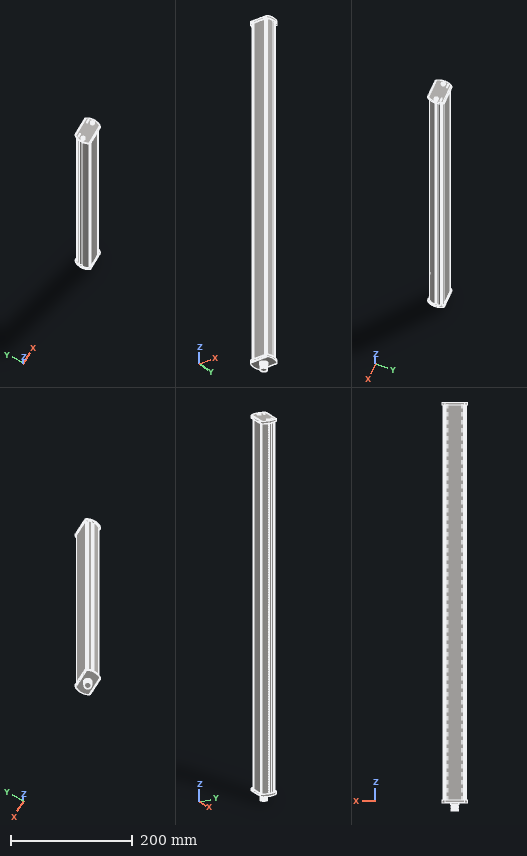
import cadquery as cq

total_height = 673.0
cap_width = 42.5
cap_depth = 29.5
cap_thickness = 5.0
corner_bevel = 1.5
cap_corner_x = 16.0

rim_bevel_depth = 2.0
rim_bevel_height = 1.0

cap_overhang = 1.7
front_bulge = 1.0

seam_x = 12.0
seam_width = 2.0
seam_depth = 1.5

channel_floor_slope = 0.5
middle_channel_rear_y = 5.0
middle_channel_root_y = 1.5
middle_channel_front_y = -1.0
middle_channel_root_x = 17.5
rear_channel_rear_y = 11.5
rear_channel_root_y = 10.0
rear_channel_front_y = 9.0
rear_channel_root_x = 15.0

screw_x = 15.5
screw_hole_diameter = 3.5
screw_head_diameter = 7.0
screw_head_depth = 1.5
slot_x = 14.0
slot_y = 8.0
slot_length = 6.0
slot_width = 1.5
slot_depth = 1.5

connector_length = 13.5
collar_diameter = 15.0
collar_length = 2.0
thread_diameter = 12.0
thread_depth = 1.0
thread_pitch = 2.0
thread_count = 5

lower_cap_z = connector_length
housing_z = lower_cap_z + cap_thickness
upper_cap_z = total_height - cap_thickness
housing_height = upper_cap_z - housing_z


def barrel_outline(z, inset, bulge):
    """Profile with bowed sides, bevelled corners and a front face that bows by `bulge`."""
    side_x = cap_width / 2 - inset
    face_y = cap_depth / 2 - inset
    front_corner_y = face_y - bulge
    corner_x = cap_corner_x - inset
    shoulder_x = corner_x + corner_bevel
    shoulder_y = face_y - corner_bevel
    outline = cq.Workplane("XY").workplane(offset=z).moveTo(-corner_x, -front_corner_y)
    if bulge:
        outline = outline.threePointArc((0, -face_y), (corner_x, -front_corner_y))
    else:
        outline = outline.lineTo(corner_x, -front_corner_y)
    return (
        outline.lineTo(shoulder_x, -shoulder_y)
        .threePointArc((side_x, 0), (shoulder_x, shoulder_y))
        .lineTo(corner_x, face_y)
        .lineTo(-corner_x, face_y)
        .lineTo(-shoulder_x, shoulder_y)
        .threePointArc((-side_x, 0), (-shoulder_x, -shoulder_y))
        .close()
    )


def window_seam(side, z, height, face_y):
    return (
        cq.Workplane("XY").workplane(offset=z)
        .center(side * seam_x, -face_y)
        .rect(seam_width, 2 * seam_depth)
        .extrude(height)
    )


def side_channel(side, rear_y, root_y, front_y, root_x):
    outer_x = cap_width / 2
    floor_rear_x = root_x + channel_floor_slope * (rear_y - root_y)
    return (
        cq.Workplane("XY").workplane(offset=housing_z)
        .polyline([
            (side * outer_x, rear_y),
            (side * floor_rear_x, rear_y),
            (side * root_x, root_y),
            (side * root_x, front_y),
            (side * outer_x, front_y),
        ])
        .close()
        .extrude(housing_height)
    )


def build_housing():
    channels = [
        (middle_channel_rear_y, middle_channel_root_y, middle_channel_front_y, middle_channel_root_x),
        (rear_channel_rear_y, rear_channel_root_y, rear_channel_front_y, rear_channel_root_x),
    ]
    housing = barrel_outline(housing_z, cap_overhang, front_bulge).extrude(housing_height)
    housing_face_y = cap_depth / 2 - cap_overhang
    for side in (-1, 1):
        housing = housing.cut(window_seam(side, housing_z, housing_height, housing_face_y))
        for rear_y, root_y, front_y, root_x in channels:
            housing = housing.cut(side_channel(side, rear_y, root_y, front_y, root_x))
    return housing


def rim_bevel(end, outer_z, inward):
    """Wedge along the front (end -1) or rear (end 1) edge of the outer cap face at `outer_z`."""
    rim_y = end * cap_depth / 2
    return (
        cq.Workplane("YZ").workplane(offset=-cap_width / 2)
        .polyline([
            (rim_y - end * rim_bevel_depth, outer_z),
            (rim_y, outer_z),
            (rim_y, outer_z + inward * rim_bevel_height),
        ])
        .close()
        .extrude(cap_width)
    )


def build_cap(z, outer_z, inward):
    cap = barrel_outline(z, 0, 0).extrude(cap_thickness)
    for end in (-1, 1):
        cap = cap.cut(rim_bevel(end, outer_z, inward))
    for side in (-1, 1):
        cap = cap.cut(window_seam(side, z, cap_thickness, cap_depth / 2))
    return cap


def build_upper_cap():
    return (
        build_cap(upper_cap_z, total_height, -1)
        .faces(">Z").workplane(origin=(0, 0, total_height))
        .pushPoints([(-screw_x, 0), (screw_x, 0)])
        .cboreHole(screw_hole_diameter, screw_head_diameter, screw_head_depth, cap_thickness)
        .faces(">Z").workplane(origin=(0, 0, total_height))
        .pushPoints([(-slot_x, slot_y), (slot_x, slot_y)])
        .slot2D(slot_length, slot_width)
        .cutBlind(-slot_depth)
    )


def build_connector():
    connector = cq.Workplane("XY").circle(thread_diameter / 2).extrude(connector_length)
    collar = (
        cq.Workplane("XY").workplane(offset=connector_length - collar_length)
        .circle(collar_diameter / 2)
        .extrude(collar_length)
    )
    outer_r = thread_diameter / 2
    root_r = outer_r - thread_depth
    for turn in range(thread_count):
        groove_z = turn * thread_pitch
        groove = (
            cq.Workplane("XZ")
            .polyline([
                (outer_r, groove_z),
                (root_r, groove_z + thread_pitch / 2),
                (outer_r, groove_z + thread_pitch),
            ])
            .close()
            .revolve(360, (0, 0, 0), (0, 1, 0))
        )
        connector = connector.cut(groove)
    return connector.union(collar)


result = (
    build_housing()
    .union(build_cap(lower_cap_z, lower_cap_z, 1))
    .union(build_upper_cap())
    .union(build_connector())
)